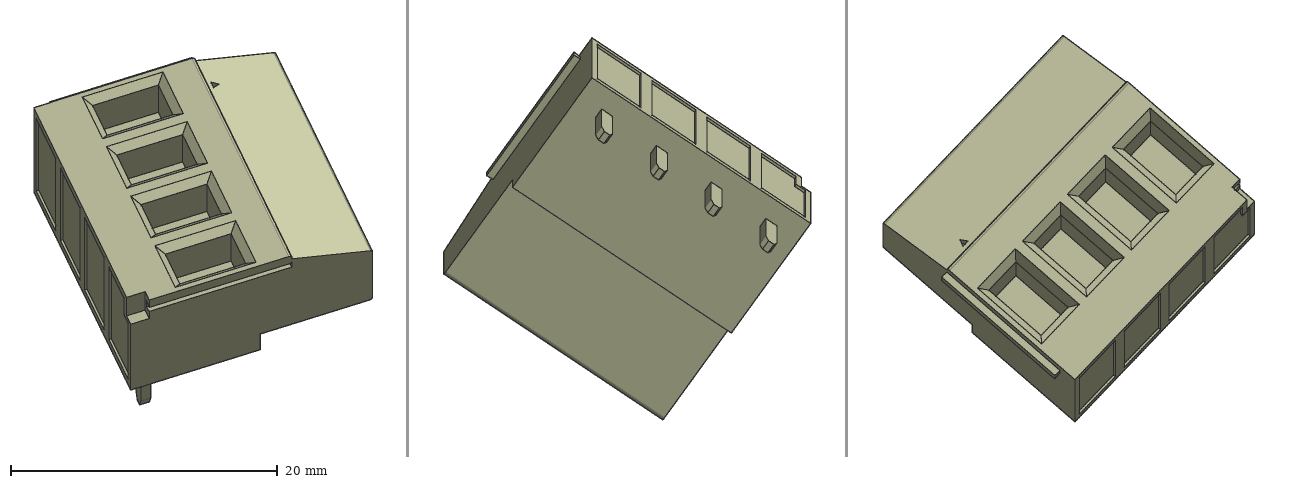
import cadquery as cq
poles = 4
pitch = 5.0
width = poles * pitch
half_width = width / 2
depth = 19.5
height = 10.5

rear_step_y = 10.45
rear_step_height = 1.95
rear_top_drop = 2.5
ledge_y = 13.0
ledge_drop = 0.4
ledge_radius = 0.25
rear_edge_radius = 0.25

well_length = 6.5
well_width = 4.2
well_center_y = 7.0
well_inset = 0.6
well_depth = 4.0

panel_width = 4.0
panel_height = 9.0
panel_recess = 0.2
panel_rim = (pitch - panel_width) / 2

notch_width = 0.85
notch_depth = 1.5
notch_height = 2.3

rail_projection = 0.6
rail_outer_height = 0.86
rail_root_height = 0.5
rail_center_z = height - 1.17
rail_length = ledge_y - notch_depth

pin_width = 1.0
pin_thickness = 0.8
pin_length = 5.4
pin_center_y = 2.0
pin_tip_width = 0.5
pin_tip_length = 0.8

mark_size = 0.55
mark_base_y = 13.4
mark_sink = 0.8

pole_centers = [-half_width + pitch * (i + 0.5) for i in range(poles)]


def make_housing():
    slope_foot_z = height - ledge_drop
    rear_top_z = height - rear_top_drop
    profile = [
        (0, 0),
        (rear_step_y, 0),
        (rear_step_y, rear_step_height),
        (depth, rear_step_height),
        (depth, rear_top_z),
        (ledge_y, slope_foot_z),
        (ledge_y, height),
        (0, height),
    ]
    housing = cq.Workplane("YZ", origin=(-half_width, 0, 0)).polyline(profile).close().extrude(width)
    housing = housing.faces(">Z").edges(">Y").fillet(ledge_radius)
    return housing.faces(">Y").edges("|X").fillet(rear_edge_radius)


def make_well(x):
    mouth = (
        cq.Workplane("XY", origin=(x, well_center_y, height))
        .rect(well_width, well_length)
        .workplane(offset=-well_inset)
        .rect(well_width - 2 * well_inset, well_length - 2 * well_inset)
        .loft(ruled=True)
    )
    shaft = (
        cq.Workplane("XY", origin=(x, well_center_y, height))
        .rect(well_width - 2 * well_inset, well_length - 2 * well_inset)
        .extrude(-well_depth)
    )
    return mouth.union(shaft)


def make_panel(x):
    return cq.Workplane("XY").box(
        panel_width, panel_recess, panel_height, centered=(True, False, True)
    ).translate((x, 0, height / 2))


def make_corner_block(block_width, block_depth, block_height):
    """Block filling the front +X top corner of the housing."""
    return cq.Workplane("XY").box(block_width, block_depth, block_height, centered=False).translate(
        (half_width - block_width, 0, height - block_height)
    )


def make_rail(root_x):
    """Dovetail bar that widens away from its root, toward -X."""
    outer_x = root_x - rail_projection
    section = [
        (root_x, rail_center_z - rail_root_height / 2),
        (root_x, rail_center_z + rail_root_height / 2),
        (outer_x, rail_center_z + rail_outer_height / 2),
        (outer_x, rail_center_z - rail_outer_height / 2),
    ]
    return cq.Workplane("XZ", origin=(0, notch_depth, 0)).polyline(section).close().extrude(-rail_length)


def make_pin(x):
    shoulder_z = pin_tip_length - pin_length
    half_pin = pin_width / 2
    half_tip = pin_tip_width / 2
    outline = [
        (x - half_pin, 0),
        (x - half_pin, shoulder_z),
        (x - half_tip, -pin_length),
        (x + half_tip, -pin_length),
        (x + half_pin, shoulder_z),
        (x + half_pin, 0),
    ]
    front_y = pin_center_y - pin_thickness / 2
    return cq.Workplane("XZ", origin=(0, front_y, 0)).polyline(outline).close().extrude(-pin_thickness)


def make_mark():
    x = pole_centers[0]
    slope = (rear_top_drop - ledge_drop) / (depth - ledge_y)
    floor_z = height - ledge_drop - slope * (mark_base_y + mark_size - ledge_y) - mark_sink
    corners = [
        (x - mark_size / 2, mark_base_y),
        (x + mark_size / 2, mark_base_y),
        (x, mark_base_y + mark_size),
    ]
    return cq.Workplane("XY", origin=(0, 0, floor_z)).polyline(corners).close().extrude(height - floor_z)


result = make_housing()

for pole_x in pole_centers:
    result = result.cut(make_well(pole_x))

panels = make_panel(pole_centers[0])
for pole_x in pole_centers[1:]:
    panels = panels.union(make_panel(pole_x))
notch_surround = make_corner_block(notch_width + panel_rim, panel_recess, notch_height + panel_rim)
result = result.cut(panels.cut(notch_surround))

result = result.cut(make_corner_block(notch_width, notch_depth, notch_height))
result = result.cut(make_rail(half_width))
result = result.union(make_rail(-half_width))
result = result.cut(make_mark())

for pole_x in pole_centers:
    result = result.union(make_pin(pole_x))